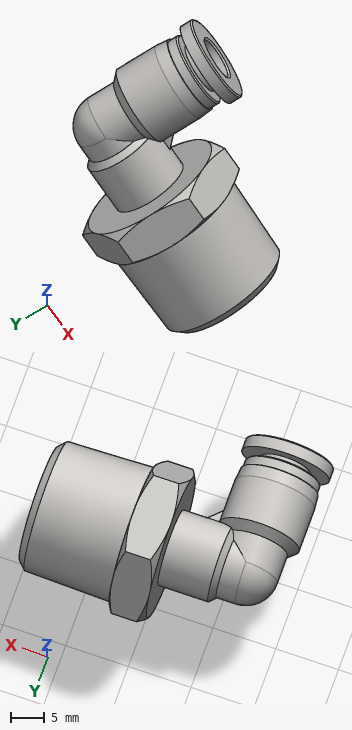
import cadquery as cq
import math


elbow_radius = 5.0
neck_radius = 12 / 2
neck_chamfer = neck_radius - elbow_radius
neck_chamfer_start = 3.0
collar_radius = 12.8 / 2
collar_cone_depth = 4.65
collar_depth = collar_cone_depth + collar_radius - elbow_radius
collar_taper_depth = 13.1
collar_end_depth = 15.1
collar_end_radius = 6.2
ring_radius = 11.9 / 2
ring_depth = 16.85
edge_chamfer = 0.25

gusset_reach = 8.4
gusset_width = 1.1

hex_start = 11.95
hex_length = 6.0
hex_flats = 22.25
hex_chamfer_angle = 30
thread_length = 15.05
thread_root_radius = 10.7
thread_tip_radius = 10.3
thread_chamfer = 1.2

sleeve_radius = 7.9 / 2
sleeve_bore_radius = 6.55 / 2
bore_chamfer = 0.3
flange_width = 14.0
flange_height = 11.9
flange_depth = 18.0
flange_thickness = 2.1
sleeve_end_depth = flange_depth + flange_thickness
socket_floor_depth = collar_depth


def revolve_about_x(points):
    """Turn an (x, radius) outline about the run axis."""
    return cq.Workplane("XY").polyline(points).close().revolve(360, (0, 0), (1, 0))


def tube_disc(radius, start_depth, end_depth):
    """Cylinder on the tube axis between two depths."""
    plane = cq.Workplane("XZ", origin=(0, -start_depth, 0))
    return plane.circle(radius).extrude(end_depth - start_depth)


def make_run_arm():
    chamfer_end = neck_chamfer_start + neck_chamfer
    return revolve_about_x([
        (0, 0),
        (0, elbow_radius),
        (neck_chamfer_start, elbow_radius),
        (chamfer_end, neck_radius),
        (hex_start, neck_radius),
        (hex_start, 0),
    ])


def make_tube_arm():
    outline = [
        (0, 0),
        (elbow_radius, 0),
        (elbow_radius, -collar_cone_depth),
        (collar_radius, -collar_depth),
        (collar_radius, -collar_taper_depth),
        (collar_end_radius, -collar_end_depth),
        (ring_radius, -collar_end_depth),
        (ring_radius, -ring_depth + edge_chamfer),
        (ring_radius - edge_chamfer, -ring_depth),
        (0, -ring_depth),
    ]
    return cq.Workplane("XY").polyline(outline).close().revolve(360, (0, 0), (0, 1))


def make_gusset():
    """Triangular web whose sloping edge runs at 45 degrees."""
    slope_sum = gusset_reach + neck_radius
    corner = (elbow_radius, -elbow_radius)
    outline = [
        corner,
        (slope_sum - elbow_radius, -elbow_radius),
        (elbow_radius, elbow_radius - slope_sum),
    ]
    return cq.Workplane("XY").polyline(outline).close().extrude(gusset_width / 2, both=True)


def make_housing():
    outer_corner = cq.Workplane("XY").sphere(elbow_radius)
    body = make_run_arm().union(make_tube_arm()).union(outer_corner).union(make_gusset())
    socket = tube_disc(sleeve_radius, socket_floor_depth, ring_depth)
    return body.cut(socket)


def make_hexagon():
    """Hexagon with flats facing +Z and -Z, its corners turned down at both ends."""
    flat_radius = hex_flats / 2
    corner_radius = flat_radius / math.cos(math.radians(30))
    chamfer_length = (corner_radius - flat_radius) * math.tan(math.radians(hex_chamfer_angle))
    hex_end = hex_start + hex_length
    prism = (
        cq.Workplane("YZ", origin=(hex_start, 0, 0))
        .polygon(6, 2 * corner_radius)
        .extrude(hex_length)
    )
    turned_envelope = revolve_about_x([
        (hex_start, 0),
        (hex_start, flat_radius),
        (hex_start + chamfer_length, corner_radius),
        (hex_end - chamfer_length, corner_radius),
        (hex_end, flat_radius),
        (hex_end, 0),
    ])
    return prism.intersect(turned_envelope)


def make_stud():
    thread_start = hex_start + hex_length
    thread_end = thread_start + thread_length
    thread = revolve_about_x([
        (thread_start, 0),
        (thread_start, thread_root_radius),
        (thread_end - thread_chamfer, thread_tip_radius),
        (thread_end, thread_tip_radius - thread_chamfer),
        (thread_end, 0),
    ])
    return make_hexagon().union(thread)


def make_release_sleeve():
    """Round sleeve with an oval push flange and a through bore."""
    flange = (
        cq.Workplane("XZ", origin=(0, -flange_depth, 0))
        .ellipse(flange_width / 2, flange_height / 2)
        .extrude(flange_thickness)
        .faces("<Y")
        .chamfer(edge_chamfer)
    )
    sleeve = tube_disc(sleeve_radius, socket_floor_depth, flange_depth).union(flange)
    bore = tube_disc(sleeve_bore_radius, socket_floor_depth, sleeve_end_depth)
    bore = bore.faces("<Y").workplane().circle(sleeve_bore_radius + bore_chamfer)
    bore = bore.extrude(-bore_chamfer, taper=45)
    return sleeve.cut(bore)


housing = make_housing()
stud = make_stud()
release_sleeve = make_release_sleeve()

result = cq.Compound.makeCompound([housing.val(), stud.val(), release_sleeve.val()])